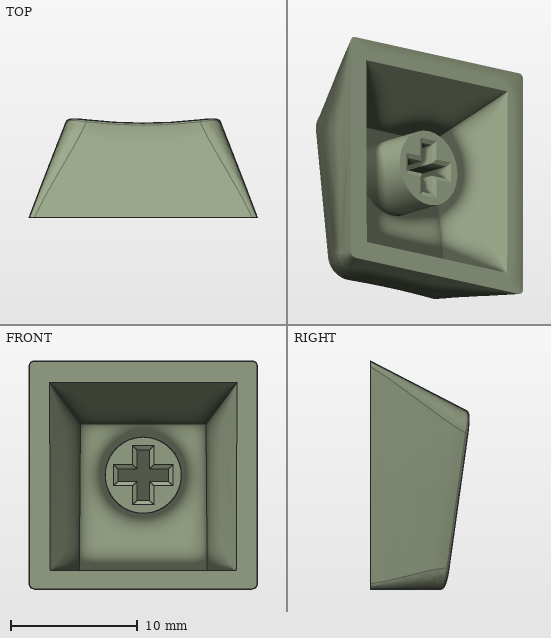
import cadquery as cq
import math


BASE_SIZE = 18.0
TOP_WIDTH = 12.0
TOP_BACK_Z = 4.87
BACK_HEIGHT = 8.0
TOP_TILT = 8.0
BASE_CORNER_RADIUS = 0.45
TOP_CORNER_RADIUS = 1.8
TOP_EDGE_RADIUS = 0.3

DISH_RADIUS = 36.0
DISH_DEPTH = 0.55

WALL = 1.5
STEM_DIAMETER = 6.0
STEM_RECESS = 1.0
CROSS_ARMS = 4
CROSS_LENGTH = 4.0
CROSS_ARM_WIDTH = 1.0
CROSS_CHAMFER_WIDTH = 0.33
CROSS_CHAMFER_DEPTH = 0.2

RIM_TOLERANCE = 1e-6

HALF_BASE = BASE_SIZE / 2
HALF_TOP = TOP_WIDTH / 2
TILT_SLOPE = math.tan(math.radians(TOP_TILT))


def top_height(z):
    """Height of the sharp, undished top face at a given Z."""
    return BACK_HEIGHT - (TOP_BACK_Z - z) * TILT_SLOPE


FRONT_HEIGHT = top_height(-HALF_BASE)
BACK_SLOPE = (HALF_BASE - TOP_BACK_Z) / BACK_HEIGHT


def quad(front_half, back_half, front, back):
    """Four-sided wire symmetric about X = 0; front and back are (height, z) pairs."""
    return cq.Wire.makePolygon(
        [
            cq.Vector(-front_half, *front),
            cq.Vector(front_half, *front),
            cq.Vector(back_half, *back),
            cq.Vector(-back_half, *back),
        ],
        close=True,
    )


def sharp_body():
    """Tapered body with sharp corners; its side walls twist slightly as the top face slopes."""
    rim = quad(HALF_BASE, HALF_BASE, (0, -HALF_BASE), (0, HALF_BASE))
    top = quad(HALF_TOP, HALF_TOP, (FRONT_HEIGHT, -HALF_BASE), (BACK_HEIGHT, TOP_BACK_Z))
    return cq.Solid.makeLoft([rim, top], True)


def round_corners(body):
    """Round the four rising corner edges with a radius that grows from the rim to the top face."""
    fillet = cq.occ_impl.shapes.BRepFilletAPI_MakeFillet(body.wrapped)
    for edge in body.Edges():
        start_on_rim = edge.startPoint().y < RIM_TOLERANCE
        end_on_rim = edge.endPoint().y < RIM_TOLERANCE
        if start_on_rim and not end_on_rim:
            fillet.Add(BASE_CORNER_RADIUS, TOP_CORNER_RADIUS, edge.wrapped)
        elif end_on_rim and not start_on_rim:
            fillet.Add(TOP_CORNER_RADIUS, BASE_CORNER_RADIUS, edge.wrapped)
    return cq.Shape.cast(fillet.Shape())


def dish():
    """Cylinder lying along the sloping top face, long enough to pass both its ends."""
    tilt = math.radians(TOP_TILT)
    axis = cq.Vector(0, math.sin(tilt), math.cos(tilt))
    normal = cq.Vector(0, math.cos(tilt), -math.sin(tilt))
    half_length = BASE_SIZE
    middle = cq.Vector(0, top_height(0), 0) + normal * (DISH_RADIUS - DISH_DEPTH)
    return cq.Solid.makeCylinder(DISH_RADIUS, 2 * half_length, middle - axis * half_length, axis)


def round_top_edge(body):
    """Round the edges all round the dished top face."""
    dish_face = cq.Workplane(obj=body).faces("%CYLINDER").val()
    return body.fillet(TOP_EDGE_RADIUS, dish_face.Edges())


def side_slope(rim_z):
    """Inward taper of a side wall along the straight line rising from the rim at a given Z."""
    fraction = (rim_z + HALF_BASE) / BASE_SIZE
    top_z = -HALF_BASE + fraction * (TOP_BACK_Z + HALF_BASE)
    return (HALF_BASE - HALF_TOP) / top_height(top_z)


def cavity():
    """Inner space, its walls and ceiling set one wall thickness inside the sharp body."""
    front_z = WALL - HALF_BASE
    back_z = HALF_BASE - WALL * math.hypot(1, BACK_SLOPE)
    ceiling_drop = WALL * math.hypot(1, TILT_SLOPE)
    front_height = top_height(front_z) - ceiling_drop
    back_height = (top_height(back_z) - ceiling_drop) / (1 + BACK_SLOPE * TILT_SLOPE)

    front_slope = side_slope(front_z)
    back_slope = side_slope(back_z)
    front_half = HALF_BASE - WALL * math.hypot(1, front_slope)
    back_half = HALF_BASE - WALL * math.hypot(1, back_slope)
    rim = quad(front_half, back_half, (0, front_z), (0, back_z))
    ceiling = quad(
        front_half - front_slope * front_height,
        back_half - back_slope * back_height,
        (front_height, front_z),
        (back_height, back_z - BACK_SLOPE * back_height),
    )
    return cq.Solid.makeLoft([rim, ceiling], True)


def cross_outline(growth, depth):
    """Closed cross outline, grown all round, at a depth below the stem end."""
    half_arm = CROSS_ARM_WIDTH / 2 + growth
    half_length = CROSS_LENGTH / 2 + growth
    y = STEM_RECESS + depth
    corners = [(half_length, -half_arm), (half_length, half_arm), (half_arm, half_arm)]
    points = []
    for _ in range(CROSS_ARMS):
        points += [cq.Vector(x, y, z) for x, z in corners]
        corners = [(-z, x) for x, z in corners]
    return cq.Wire.makePolygon(points, close=True)


def stem():
    """Round stem with a cross socket through it, reaching past the cavity ceiling."""
    post = cq.Workplane("XZ", origin=(0, STEM_RECESS, 0)).circle(STEM_DIAMETER / 2).extrude(-BACK_HEIGHT)
    socket = cq.Solid.extrudeLinear(cross_outline(0, 0), [], cq.Vector(0, BACK_HEIGHT, 0))
    mouth = cq.Solid.makeLoft(
        [cross_outline(CROSS_CHAMFER_WIDTH, 0), cross_outline(0, CROSS_CHAMFER_DEPTH)],
        True,
    )
    return post.val().cut(socket, mouth)


keycap = round_top_edge(round_corners(sharp_body()).cut(dish()))
cavity_around_stem = cavity().cut(stem())
result = cq.Workplane(obj=keycap).cut(cq.Workplane(obj=cavity_around_stem))